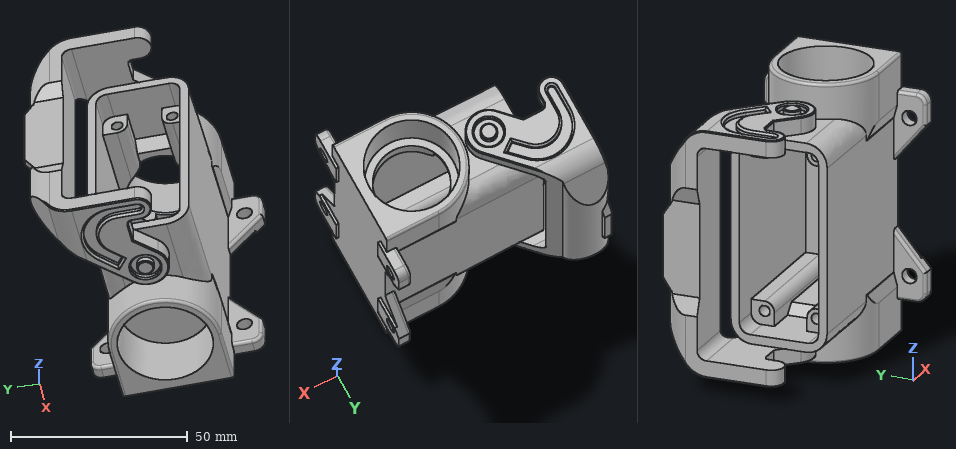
import cadquery as cq
import math


OPENING_X = -34.4
BACK_X = 16.75
SHELL_HALF_Z = 31.7
OPENING_HALF_Y = 14.8
BACK_HALF_Y = 15.1
SHELL_CORNER_R = 6.55
BACK_WALL = 2.7
CAVITY_HALF_Y = 12.15
CAVITY_HALF_Z = 28.9
CAVITY_CORNER_R = 3.2

PORT_END_Z = 42.5
PORT_R = 16.2
PORT_ROOT_Z = 23.5
PORT_FULL_Z = 27.6
PORT_EDGE_R = 0.85
BORE_R = 13.6
BORE_DRAFT = 0.7
BORE_FLOOR_Z = 26.9
ENTRY_HOLE_R = 11.05
PORT_FLOOR_Z = 25.9
RAMP_END_X = -PORT_R + (CAVITY_HALF_Z - PORT_FLOOR_Z)

POST_FACE_X = -25.8
POST_INNER_Y = 5.0
POST_INNER_Z = 21.7
POST_CORNER_R = 3.1
POST_HOLE_Y = 8.0
POST_HOLE_Z = 24.65
POST_HOLE_R = 1.6
POST_HOLE_DEPTH = 10.2

LUG_FRONT_X = 13.6
LUG_FOOT_X = 17.6
LUG_TIP_Y = 25.0
LUG_SLANT_Z = 22.3
LUG_ROOT_Z = 10.45
LUG_CORNER_R = 3.1
LUG_EDGE_R = 0.9
LUG_HOLE_Y = 19.9
LUG_HOLE_Z = 24.0
LUG_HOLE_R = 2.2
FOOT_INNER_Y = 12.5
FOOT_INNER_Z = 19.2

PIVOT_X = -24.8
PIN_R = 2.5
PIN_END_Z = 37.7
PIN_CHAMFER = 0.3
COLLAR_R = 3.4

ARM_INNER_Z = 32.2
ARM_OUTER_Z = 37.4
ARM_EDGE = 0.3
LEVER_LEFT_X = -50.4
EYE_R = 6.7
HOOK_R = 3.9
HOOK_CENTER_Y = -2.7
THROAT_Y = 1.2
THROAT_END_X = -35.3
THROAT_R = 1.5
BAR_R = 6.9
BAR_RIGHT_X = LEVER_LEFT_X + 2 * BAR_R
BAR_CENTER_Y = 22.1
BAR_INNER_Y = 18.45
BEND_Y = 15.6
BEND_OUTER_R = 8.1
BEND_INNER_R = BAR_INNER_Y - BEND_Y
BEND_ANGLE = math.radians(58.3)
RECESS_RIM_R = 4.7
RECESS_DEPTH = 1.5
RECESS_EDGE = 0.4

GROOVE_WIDTH = 3.8
GROOVE_OUTER_R = 10.5
GROOVE_INNER_R = GROOVE_OUTER_R - GROOVE_WIDTH
GROOVE_OUTER_CENTER_Y = 4.85
GROOVE_INNER_CENTER_Y = 3.65
GROOVE_OUTER_END_X = -25.6
GROOVE_INNER_END_X = -29.3
GROOVE_DEPTH = 1.7
GROOVE_EDGE = 0.7

GRIP_FACE_X = -48.45
GRIP_BACK_X = -45.9
GRIP_FLAT_HALF_Z = 14.2
GRIP_RAMP_HALF_Z = 19.3
GRIP_TIP_Y = 30.0
GRIP_TIP_HALF_Z = 9.3
GRIP_ROOT_Y = 26.7
GRIP_EDGE = 0.4


def block(x0, x1, y0, y1, z0, z1):
    """Box between two opposite corners."""
    return cq.Workplane("XY").box(x1 - x0, y1 - y0, z1 - z0, centered=False).translate((x0, y0, z0))


def cylinder(x, radius, z0, z1):
    """Cylinder parallel to Z with its axis in the plane y = 0."""
    return cq.Workplane("XY", origin=(x, 0, z0)).circle(radius).extrude(z1 - z0)


def mirrored(shape, plane):
    """Shape joined with its mirror image."""
    return shape.union(shape.mirror(plane))


def in_four_corners(shape):
    return mirrored(mirrored(shape, "XZ"), "XY")


def flared_cutter(rim, edge, depth):
    """Downward cutter below a rim outline: a 45 degree flare, then straight walls."""
    flare = rim.extrude(-edge, taper=45)
    return flare.faces("<Z").wires().toPending().extrude(edge - depth)


def rounded_section(x, half_y, half_z, radius):
    sketch = cq.Sketch().rect(2 * half_y, 2 * half_z).vertices().fillet(radius)
    return cq.Workplane("YZ", origin=(x, 0, 0)).placeSketch(sketch)


def make_shell():
    opening = cq.Sketch().rect(2 * OPENING_HALF_Y, 2 * SHELL_HALF_Z).vertices().fillet(SHELL_CORNER_R)
    back = cq.Sketch().rect(2 * BACK_HALF_Y, 2 * SHELL_HALF_Z).vertices().fillet(SHELL_CORNER_R)
    length = BACK_X - OPENING_X
    start = cq.Workplane("YZ", origin=(OPENING_X, 0, 0))
    return start.placeSketch(opening, back.moved(cq.Location(cq.Vector(0, 0, length)))).loft(ruled=True)


def make_port():
    """D-shaped upper port whose flanks taper down into the shell walls."""
    outline = (
        cq.Workplane("XY", origin=(0, 0, PORT_ROOT_Z))
        .moveTo(BACK_X, -PORT_R)
        .lineTo(0, -PORT_R)
        .threePointArc((-PORT_R, 0), (0, PORT_R))
        .lineTo(BACK_X, PORT_R)
        .close()
        .extrude(PORT_END_Z - PORT_ROOT_Z)
    )
    rounded = outline.faces(">Z").edges("not(>X)").fillet(PORT_EDGE_R)
    flanks = (
        cq.Workplane("YZ", origin=(-PORT_R, 0, 0))
        .polyline([
            (-BACK_HALF_Y, PORT_ROOT_Z),
            (-PORT_R, PORT_FULL_Z),
            (-PORT_R, PORT_END_Z),
            (PORT_R, PORT_END_Z),
            (PORT_R, PORT_FULL_Z),
            (BACK_HALF_Y, PORT_ROOT_Z),
        ])
        .close()
        .extrude(PORT_R + BACK_X)
    )
    return rounded.intersect(flanks)


def make_lug():
    """Mounting lug at +Y, +Z with its thicker square foot."""
    plate = (
        cq.Workplane("YZ", origin=(LUG_FRONT_X, 0, 0))
        .polyline([
            (FOOT_INNER_Y, SHELL_HALF_Z),
            (LUG_TIP_Y, SHELL_HALF_Z),
            (LUG_TIP_Y, LUG_SLANT_Z),
            (BACK_HALF_Y, LUG_ROOT_Z),
            (FOOT_INNER_Y, LUG_ROOT_Z),
        ])
        .close()
        .extrude(LUG_FOOT_X - LUG_FRONT_X)
        .edges("|X and >Y and >Z")
        .fillet(LUG_CORNER_R)
        .faces("<X")
        .edges("not(<Y)")
        .fillet(LUG_EDGE_R)
    )
    relief = block(BACK_X, LUG_FOOT_X, 0, LUG_TIP_Y, 0, FOOT_INNER_Z)
    hole = (
        cq.Workplane("YZ", origin=(LUG_FRONT_X, 0, 0))
        .center(LUG_HOLE_Y, LUG_HOLE_Z)
        .circle(LUG_HOLE_R)
        .extrude(LUG_FOOT_X - LUG_FRONT_X)
    )
    return plate.cut(relief).cut(hole)


def make_post():
    """Screw post filling the +Y, +Z corner of the cavity."""
    post = block(
        POST_FACE_X, BACK_X - BACK_WALL,
        POST_INNER_Y, CAVITY_HALF_Y, POST_INNER_Z, CAVITY_HALF_Z,
    )
    return post.edges("|X and <Y and <Z").fillet(POST_CORNER_R)


def make_port_floor():
    """Thicker cavity wall under the upper port, led in by a 45 degree ramp."""
    return (
        cq.Workplane("XZ", origin=(0, CAVITY_HALF_Y, 0))
        .polyline([
            (-PORT_R, CAVITY_HALF_Z),
            (RAMP_END_X, PORT_FLOOR_Z),
            (BACK_X - BACK_WALL, PORT_FLOOR_Z),
            (BACK_X - BACK_WALL, CAVITY_HALF_Z),
        ])
        .close()
        .extrude(2 * CAVITY_HALF_Y)
    )


def make_bore():
    rim = cq.Workplane("XY", origin=(0, 0, PORT_END_Z)).circle(BORE_R)
    return rim.extrude(BORE_FLOOR_Z - PORT_END_Z, taper=BORE_DRAFT)


def make_cavity():
    cavity = rounded_section(OPENING_X, CAVITY_HALF_Y, CAVITY_HALF_Z, CAVITY_CORNER_R)
    cavity = cavity.extrude(BACK_X - BACK_WALL - OPENING_X)
    return cavity.cut(in_four_corners(make_post())).cut(mirrored(make_port_floor(), "XY"))


def make_post_hole():
    return (
        cq.Workplane("YZ", origin=(POST_FACE_X, POST_HOLE_Y, POST_HOLE_Z))
        .circle(POST_HOLE_R)
        .extrude(POST_HOLE_DEPTH)
    )


def make_pin():
    """Upper pivot pin with the collar that spaces the lever off the shell."""
    collar = cylinder(PIVOT_X, COLLAR_R, CAVITY_HALF_Z, ARM_INNER_Z)
    shank = cylinder(PIVOT_X, PIN_R, CAVITY_HALF_Z, PIN_END_Z).faces(">Z").chamfer(PIN_CHAMFER)
    return collar.union(shank)


def make_housing():
    housing = make_shell().union(mirrored(make_port(), "XY"))
    housing = housing.union(in_four_corners(make_lug()))
    housing = housing.cut(make_cavity())
    housing = housing.cut(in_four_corners(make_post_hole()))
    housing = housing.cut(mirrored(make_bore(), "XY"))
    housing = housing.cut(cylinder(0, ENTRY_HOLE_R, 0, PORT_END_Z))
    return housing.union(mirrored(make_pin(), "XY"))


def eye_tangent(x, y, side):
    """Point where the line from (x, y) touches the pivot eye; side is +1 or -1."""
    toward = math.atan2(y, x - PIVOT_X)
    angle = toward - side * math.acos(EYE_R / math.hypot(x - PIVOT_X, y))
    return PIVOT_X + EYE_R * math.cos(angle), EYE_R * math.sin(angle)


def make_lever_profile():
    """Arm and crossbar outline in XY, carried over the full lever height."""
    hook_x = LEVER_LEFT_X + HOOK_R
    upper_tangent = eye_tangent(BAR_RIGHT_X, BAR_CENTER_Y, 1)
    lower_tangent = eye_tangent(THROAT_END_X, THROAT_Y, -1)
    return (
        cq.Workplane("XY", origin=(0, 0, -ARM_OUTER_Z))
        .moveTo(LEVER_LEFT_X, HOOK_CENTER_Y)
        .threePointArc((hook_x, HOOK_CENTER_Y - HOOK_R), (hook_x + HOOK_R, HOOK_CENTER_Y))
        .lineTo(hook_x + HOOK_R, THROAT_Y - THROAT_R)
        .radiusArc((hook_x + HOOK_R + THROAT_R, THROAT_Y), THROAT_R)
        .lineTo(THROAT_END_X, THROAT_Y)
        .lineTo(*lower_tangent)
        .threePointArc((PIVOT_X + EYE_R, 0), upper_tangent)
        .lineTo(BAR_RIGHT_X, BAR_CENTER_Y)
        .threePointArc((LEVER_LEFT_X + BAR_R, BAR_CENTER_Y + BAR_R), (LEVER_LEFT_X, BAR_CENTER_Y))
        .close()
        .extrude(2 * ARM_OUTER_Z)
        .faces("<Z or >Z")
        .chamfer(ARM_EDGE)
    )


def make_bend_envelope():
    """Outer outline of the lever in YZ: arms, bends and slanted shoulders."""
    bend_z = ARM_OUTER_Z - BEND_OUTER_R
    mid_y = BEND_Y + BEND_OUTER_R * math.sin(BEND_ANGLE / 2)
    mid_z = bend_z + BEND_OUTER_R * math.cos(BEND_ANGLE / 2)
    end_y = BEND_Y + BEND_OUTER_R * math.sin(BEND_ANGLE)
    end_z = bend_z + BEND_OUTER_R * math.cos(BEND_ANGLE)
    crown_y = BAR_CENTER_Y + BAR_R
    crown_z = end_z - (crown_y - end_y) * math.tan(BEND_ANGLE)
    return (
        cq.Workplane("YZ", origin=(LEVER_LEFT_X, 0, 0))
        .moveTo(-EYE_R, ARM_OUTER_Z)
        .lineTo(BEND_Y, ARM_OUTER_Z)
        .threePointArc((mid_y, mid_z), (end_y, end_z))
        .lineTo(crown_y, crown_z)
        .lineTo(crown_y, -crown_z)
        .lineTo(end_y, -end_z)
        .threePointArc((mid_y, -mid_z), (BEND_Y, -ARM_OUTER_Z))
        .lineTo(-EYE_R, -ARM_OUTER_Z)
        .close()
        .extrude(PIVOT_X + EYE_R - LEVER_LEFT_X)
        .faces("<X")
        .chamfer(ARM_EDGE)
    )


def make_arm_gap():
    """Space between the two arms, rounded where it meets the crossbar."""
    gap = block(LEVER_LEFT_X, PIVOT_X + EYE_R, -EYE_R, BAR_INNER_Y, -ARM_INNER_Z, ARM_INNER_Z)
    return gap.edges("|X and >Y").fillet(BEND_INNER_R)


def make_groove():
    """J-shaped groove in the upper arm, with a flared rim."""
    leg_x = LEVER_LEFT_X + HOOK_R
    left_x = leg_x - GROOVE_WIDTH / 2
    right_x = leg_x + GROOVE_WIDTH / 2
    center_x = left_x + GROOVE_OUTER_R
    diagonal = math.sqrt(0.5)

    def on_arc(radius, center_y, angle):
        return center_x + radius * math.cos(angle), center_y + radius * math.sin(angle)

    bend_start = math.pi / 4
    bend_middle = 5 * math.pi / 8
    outer_end_y = GROOVE_OUTER_CENTER_Y + GROOVE_OUTER_R / diagonal - (GROOVE_OUTER_END_X - center_x)
    inner_end_y = GROOVE_INNER_CENTER_Y + GROOVE_INNER_R / diagonal - (GROOVE_INNER_END_X - center_x)
    rim = (
        cq.Workplane("XY", origin=(0, 0, ARM_OUTER_Z))
        .moveTo(right_x, HOOK_CENTER_Y)
        .lineTo(right_x, GROOVE_INNER_CENTER_Y)
        .threePointArc(
            on_arc(GROOVE_INNER_R, GROOVE_INNER_CENTER_Y, bend_middle),
            on_arc(GROOVE_INNER_R, GROOVE_INNER_CENTER_Y, bend_start),
        )
        .lineTo(GROOVE_INNER_END_X, inner_end_y)
        .lineTo(GROOVE_OUTER_END_X, outer_end_y)
        .lineTo(*on_arc(GROOVE_OUTER_R, GROOVE_OUTER_CENTER_Y, bend_start))
        .threePointArc(
            on_arc(GROOVE_OUTER_R, GROOVE_OUTER_CENTER_Y, bend_middle),
            (left_x, GROOVE_OUTER_CENTER_Y),
        )
        .lineTo(left_x, HOOK_CENTER_Y)
        .threePointArc((leg_x, HOOK_CENTER_Y - GROOVE_WIDTH / 2), (right_x, HOOK_CENTER_Y))
        .close()
    )
    return flared_cutter(rim, GROOVE_EDGE, GROOVE_DEPTH)


def make_grip():
    """Finger tab standing out of the crossbar."""
    return (
        cq.Workplane("YZ", origin=(GRIP_FACE_X, 0, 0))
        .polyline([
            (BAR_INNER_Y, GRIP_FLAT_HALF_Z),
            (GRIP_ROOT_Y, GRIP_FLAT_HALF_Z),
            (GRIP_TIP_Y, GRIP_TIP_HALF_Z),
            (GRIP_TIP_Y, -GRIP_TIP_HALF_Z),
            (GRIP_ROOT_Y, -GRIP_FLAT_HALF_Z),
            (BAR_INNER_Y, -GRIP_FLAT_HALF_Z),
        ])
        .close()
        .extrude(GRIP_BACK_X - GRIP_FACE_X)
        .faces("<X")
        .edges(">Y")
        .chamfer(GRIP_EDGE)
    )


def make_grip_notch():
    """Shallow notch that sets the grip face back from the left edge."""
    return (
        cq.Workplane("XZ", origin=(0, GRIP_TIP_Y, 0))
        .polyline([
            (LEVER_LEFT_X, GRIP_RAMP_HALF_Z),
            (GRIP_FACE_X, GRIP_FLAT_HALF_Z),
            (GRIP_FACE_X, -GRIP_FLAT_HALF_Z),
            (LEVER_LEFT_X, -GRIP_RAMP_HALF_Z),
        ])
        .close()
        .extrude(GRIP_TIP_Y - BAR_INNER_Y)
    )


def make_pivot_recess():
    """Counterbore around the pin in the upper arm."""
    floor_z = ARM_OUTER_Z - RECESS_DEPTH
    recess = cylinder(PIVOT_X, RECESS_RIM_R - RECESS_EDGE, floor_z, ARM_OUTER_Z)
    rim = cq.Workplane("XY", origin=(PIVOT_X, 0, ARM_OUTER_Z)).circle(RECESS_RIM_R)
    return recess.union(rim.extrude(-RECESS_EDGE, taper=45))


def make_lever():
    lever = make_lever_profile().intersect(make_bend_envelope())
    lever = lever.cut(make_arm_gap())
    lever = lever.cut(make_grip_notch()).union(make_grip())
    lever = lever.cut(cylinder(PIVOT_X, PIN_R, -ARM_OUTER_Z, ARM_OUTER_Z))
    lever = lever.cut(mirrored(make_pivot_recess(), "XY"))
    return lever.cut(mirrored(make_groove(), "XY"))


housing = make_housing()
lever = make_lever()
result = cq.Compound.makeCompound([housing.val(), lever.val()])